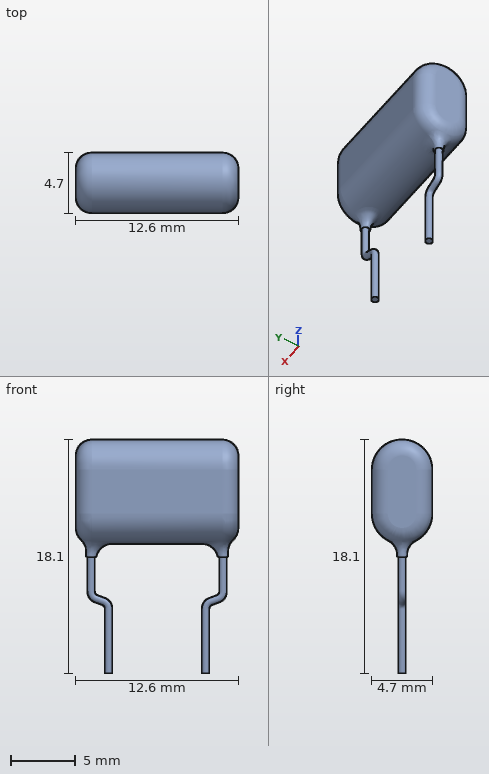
import cadquery as cq
import math

body_length = 12.6
body_thickness = 4.7
body_height = 8.1
end_rounding = 1.25

lead_diameter = 0.6
lead_pitch = 7.5
exit_pitch = 10.2
lead_drop = 10.0
bend_radius = 0.6
bend_angle = 70.0
lower_leg_length = 5.0
collar_diameter = 0.8
collar_length = 1.0
collar_flare_radius = 1.2
collar_rim_rounding = 0.1
collar_trim = 0.4

body_bottom = lead_drop
body_middle = body_bottom + body_height / 2
collar_bottom = body_bottom - collar_length


def make_body():
    """Rounded capacitor body with a flared collar over each lead exit."""
    body = (
        cq.Workplane("YZ", origin=(-body_length / 2, 0, body_middle))
        .slot2D(body_height, body_thickness, 90)
        .extrude(body_length)
        .faces("<X or >X")
        .edges()
        .fillet(end_rounding)
    )
    uncut_bottom = collar_bottom - collar_trim
    collars = (
        cq.Workplane("XY", origin=(0, 0, uncut_bottom))
        .pushPoints([(-exit_pitch / 2, 0), (exit_pitch / 2, 0)])
        .circle(collar_diameter / 2)
        .extrude(body_middle - uncut_bottom)
    )
    joint_reach = 2 * collar_diameter
    joint_edges = cq.selectors.BoxSelector(
        (-body_length / 2, -joint_reach / 2, body_bottom - collar_length / 2),
        (body_length / 2, joint_reach / 2, body_bottom + joint_reach / 2),
    )
    flared = body.union(collars).edges(joint_edges).fillet(collar_flare_radius)

    trim = (
        cq.Workplane("XY", origin=(0, 0, collar_bottom))
        .rect(body_length, body_thickness)
        .extrude(-collar_trim)
    )
    trimmed = flared.cut(trim)
    return trimmed.faces("<Z").edges().fillet(collar_rim_rounding).solids()


def make_lead(side):
    """Wire lead cranked inward; side is -1 for the -X lead and 1 for the +X lead."""
    angle = math.radians(bend_angle)
    sideways_step = (exit_pitch - lead_pitch) / 2
    bend_shift = bend_radius * (1 - math.cos(angle))
    bend_drop = bend_radius * math.sin(angle)
    slant_shift = sideways_step - 2 * bend_shift
    slant_drop = slant_shift / math.tan(angle)
    crank_top = lower_leg_length + 2 * bend_drop + slant_drop

    exit_x = side * exit_pitch / 2
    tip_x = side * lead_pitch / 2
    slant_start = (exit_x - side * bend_shift, crank_top - bend_drop)
    slant_end = (tip_x + side * bend_shift, lower_leg_length + bend_drop)

    centre_line = (
        cq.Workplane("XZ")
        .moveTo(exit_x, collar_bottom)
        .lineTo(exit_x, crank_top)
        .tangentArcPoint(slant_start, relative=False)
        .lineTo(*slant_end)
        .tangentArcPoint((tip_x, lower_leg_length), relative=False)
        .lineTo(tip_x, 0)
    )
    return (
        cq.Workplane("XY", origin=(exit_x, 0, collar_bottom))
        .circle(lead_diameter / 2)
        .sweep(centre_line)
    )


body = make_body()
leads = [make_lead(side) for side in (-1, 1)]

result = cq.Compound.makeCompound([body.val(), *[lead.val() for lead in leads]])